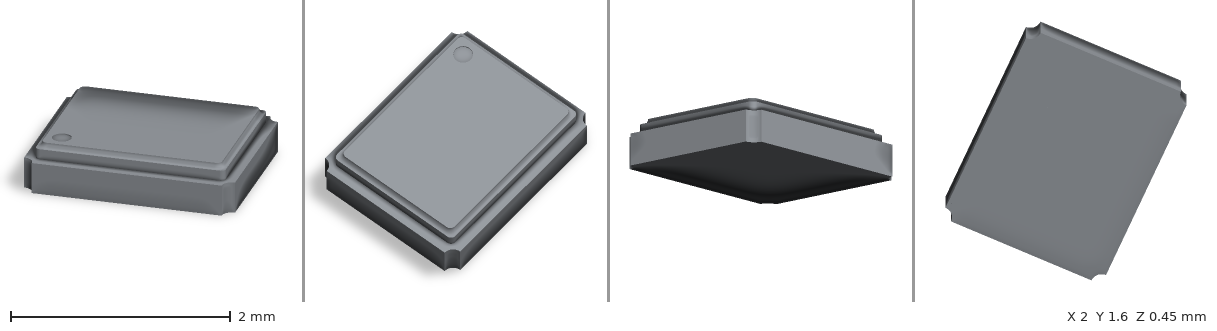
import cadquery as cq

base_length = 2.0
base_width = 1.6
base_height = 0.3
notch_radius = 0.1

lid_inset = 0.1
lid_step_height = 0.1
lid_corner_radius = 0.05
cove_radius = 0.05
cove_path_radius = 0.1
lid_length = base_length - 2 * lid_inset
lid_width = base_width - 2 * lid_inset
lid_step_top = base_height + lid_step_height
total_height = lid_step_top + cove_radius

mark_diameter = 0.18
mark_depth = 0.01
mark_edge_distance = 0.3

pad_length = 0.6
pad_width = 0.5
pad_thickness = 0.05
pad_inset = 0.035

corner_signs = [(-1, -1), (1, -1), (1, 1), (-1, 1)]


def corner_notches(height):
    """Four upright cylinders centred on the corners of the base."""
    corners = [(sx * base_length / 2, sy * base_width / 2) for sx, sy in corner_signs]
    return cq.Workplane("XY").pushPoints(corners).circle(notch_radius).extrude(height)


def rounded_block(corner_radius, bottom, height):
    """Block with the lid's footprint and rounded upright edges."""
    return (
        cq.Workplane("XY")
        .workplane(offset=bottom)
        .rect(lid_length, lid_width)
        .extrude(height)
        .edges("|Z")
        .fillet(corner_radius)
    )


def cove_cutter():
    """Round bar that follows the lid's upper outline and hollows its edge."""
    outline = (
        rounded_block(cove_path_radius, lid_step_top, cove_radius)
        .faces(">Z")
        .wires()
        .val()
    )
    return (
        cq.Workplane("YZ")
        .center(-lid_width / 2, total_height)
        .circle(cove_radius)
        .sweep(cq.Workplane(outline))
    )


def make_lid():
    step = rounded_block(lid_corner_radius, base_height, lid_step_height)
    crown = rounded_block(cove_path_radius, lid_step_top, cove_radius).cut(cove_cutter())
    mark = (
        cq.Workplane("XY")
        .workplane(offset=total_height - mark_depth)
        .center(mark_edge_distance - base_length / 2, mark_edge_distance - base_width / 2)
        .circle(mark_diameter / 2)
        .extrude(mark_depth)
    )
    return step.union(crown).cut(mark)


def make_pad(sx, sy):
    """Rectangular pad whose outer corner is trimmed flush with the base notch."""
    centre_x = sx * (base_length / 2 - pad_inset - pad_length / 2)
    centre_y = sy * (base_width / 2 - pad_inset - pad_width / 2)
    block = (
        cq.Workplane("XY")
        .center(centre_x, centre_y)
        .rect(pad_length, pad_width)
        .extrude(pad_thickness)
    )
    return block.cut(corner_notches(pad_thickness))


def make_housing(pads):
    base = cq.Workplane("XY").rect(base_length, base_width).extrude(base_height)
    housing = base.cut(corner_notches(base_height)).union(make_lid())
    for pad in pads:
        housing = housing.cut(pad)
    return housing


contact_pads = [make_pad(sx, sy) for sx, sy in corner_signs]
housing = make_housing(contact_pads)

result = cq.Compound.makeCompound([housing.val(), *[pad.val() for pad in contact_pads]])